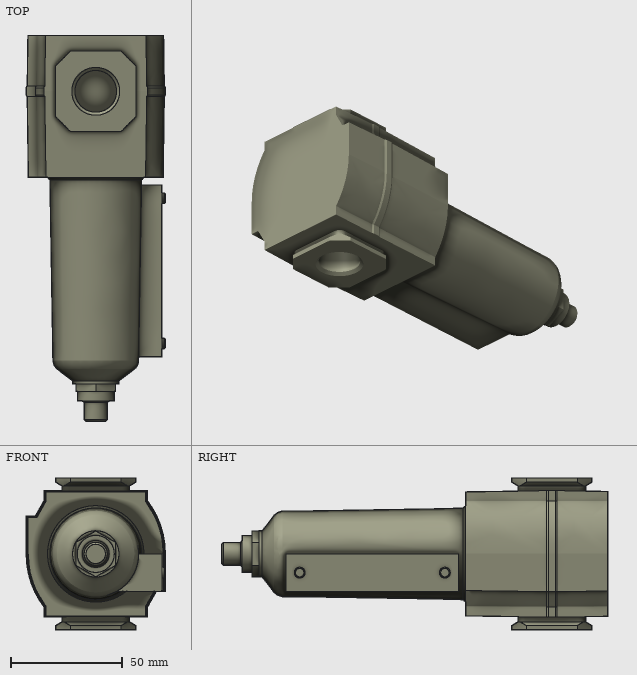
import cadquery as cq
import math


head_back = 25.0
head_front = -38.5
head_half_height = 28.3
head_side_half_width = 30.8
head_top_half_width = 22.8
head_shoulder_height = 23.7
step_half_width = 26.6
step_height = 17.0
draft_angle = 0.8
band_rise = 0.43
band_half_length = 1.5
band_bevel = 0.9

port_face_height = 34.0
port_half_width = 18.0
port_corner = 6.5
port_rim = 1.9
port_bevel = 1.7
neck_half_width = 15.2
neck_corner_radius = 3.3
port_bore_radius = 9.3
port_bore_depth = 17.3
port_bore_chamfer = 1.4

collar_radius = 21.6
collar_length = 1.2
bowl_top_radius = 20.5
bowl_bottom_radius = 19.2
bowl_bottom = -122.9
boss_radius = 10.4
boss_start = -129.6
boss_end = -131.0
shoulder_round = 4.8

plate_back = -41.8
plate_front = -118.9
plate_side = 29.5
plate_depth = 16.8
peg_radius = 2.5
peg_inset = 6.0
peg_tip = 31.1
peg_chamfer = 0.5

hex_across_flats = 17.8
hex_length = 3.3
drain_barrel_radius = 8.3
drain_barrel_length = 4.3
stem_radius = 5.2
stem_collar_radius = 6.0
stem_collar_length = 0.7
stem_tip = -147.7
stem_chamfer = 0.9


def head_outline(rise):
    """Head section in XZ, moved outward in X by `rise`; half a turn about Y maps it onto itself."""
    side = head_side_half_width + rise
    top = head_top_half_width + rise
    step = step_half_width + rise
    arc_radius = ((side - top) ** 2 + head_shoulder_height**2) / (2 * (side - top))
    arc_mid_height = head_shoulder_height / 2
    arc_mid = side - arc_radius + math.sqrt(arc_radius**2 - arc_mid_height**2)
    return (
        cq.Workplane("XZ")
        .moveTo(-top, head_half_height)
        .lineTo(top, head_half_height)
        .lineTo(top, head_shoulder_height)
        .threePointArc((arc_mid, arc_mid_height), (side, 0))
        .lineTo(side, -step_height)
        .lineTo(step, -step_height)
        .lineTo(top, -head_shoulder_height)
        .lineTo(top, -head_half_height)
        .lineTo(-top, -head_half_height)
        .lineTo(-top, -head_shoulder_height)
        .threePointArc((-arc_mid, -arc_mid_height), (-side, 0))
        .lineTo(-side, step_height)
        .lineTo(-step, step_height)
        .lineTo(-top, head_shoulder_height)
        .close()
    )


def make_band():
    """Bevelled band round the parting plane, raised in X only: its top and bottom follow the head's draft."""
    band = head_outline(band_rise).extrude(band_half_length, both=True)
    bevel_end = band_half_length + band_bevel
    for side in (1, -1):
        crest = head_outline(band_rise).wire().val().translate(cq.Vector(0, side * band_half_length, 0))
        foot = head_outline(0).wire().val().translate(cq.Vector(0, side * bevel_end, 0))
        band = band.union(cq.Workplane(cq.Solid.makeLoft([crest, foot], True)))
    blank = cq.Workplane("XZ").rect(4 * head_side_half_width, 2 * head_half_height)
    front_blank = blank.extrude(bevel_end, taper=draft_angle)
    back_blank = front_blank.mirror("XZ")
    return band.intersect(front_blank.union(back_blank))


def port_flange():
    """Upper port: square rim, bevelled back to a round-cornered neck, with the rim corners cut off."""
    rim_bottom = port_face_height - port_rim
    neck_top = rim_bottom - port_bevel
    rim = cq.Workplane("XY", origin=(0, 0, rim_bottom)).rect(2 * port_half_width, 2 * port_half_width)
    rim = rim.extrude(port_rim)
    bevel = (
        cq.Workplane("XY", origin=(0, 0, neck_top))
        .rect(2 * neck_half_width, 2 * neck_half_width)
        .workplane(offset=port_bevel)
        .rect(2 * port_half_width, 2 * port_half_width)
        .loft(ruled=True)
    )
    across_corners = math.sqrt(2) * (2 * port_half_width - port_corner)
    corner_cutter = (
        cq.Workplane("XY")
        .rect(across_corners, across_corners)
        .extrude(port_face_height)
        .rotate((0, 0, 0), (0, 0, 1), 45)
    )
    neck = (
        cq.Workplane("XY")
        .rect(2 * neck_half_width, 2 * neck_half_width)
        .extrude(neck_top)
        .edges("|Z")
        .fillet(neck_corner_radius)
    )
    return rim.union(bevel).intersect(corner_cutter).union(neck)


def port_bore():
    """Blind upper port bore with a chamfered mouth."""
    return (
        cq.Workplane("XZ")
        .moveTo(0, port_face_height)
        .lineTo(port_bore_radius + port_bore_chamfer, port_face_height)
        .lineTo(port_bore_radius, port_face_height - port_bore_chamfer)
        .lineTo(port_bore_radius, port_face_height - port_bore_depth)
        .lineTo(0, port_face_height - port_bore_depth)
        .close()
        .revolve(360, (0, 0, 0), (0, 1, 0))
    )


def make_head():
    front_half = head_outline(0).extrude(-head_front, taper=draft_angle)
    back_half = head_outline(0).extrude(-head_back, taper=draft_angle)
    head = front_half.union(back_half).union(make_band())
    for turn in (0, 180):
        head = head.union(port_flange().rotate((0, 0, 0), (0, 1, 0), turn))
        head = head.cut(port_bore().rotate((0, 0, 0), (0, 1, 0), turn))
    return head


def turned(profile):
    """Solid turned about Y from (radius, y) points."""
    return cq.Workplane("XY").polyline(profile).close().revolve(360, (0, 0, 0), (0, 1, 0))


def make_bowl():
    collar_end = head_front - collar_length
    shell = turned([
        (0, head_front), (collar_radius, head_front), (bowl_top_radius, collar_end),
        (bowl_bottom_radius, bowl_bottom), (boss_radius, boss_start), (boss_radius, boss_end),
        (0, boss_end),
    ])
    shoulder_edge = cq.selectors.NearestToPointSelector((0, bowl_bottom, 0))
    shell = shell.edges(shoulder_edge).fillet(shoulder_round)
    plate = (
        cq.Workplane("XY", origin=(0, plate_front, -plate_depth))
        .box(plate_side, plate_back - plate_front, plate_depth, centered=False)
    )
    bowl = shell.union(plate)
    for peg_y in (plate_back - peg_inset, plate_front + peg_inset):
        peg = (
            cq.Workplane("YZ", origin=(plate_side, peg_y, -plate_depth / 2))
            .circle(peg_radius)
            .extrude(peg_tip - plate_side)
            .faces(">X")
            .chamfer(peg_chamfer)
        )
        bowl = bowl.union(peg)
    return bowl


def make_drain():
    hex_end = boss_end - hex_length
    barrel_end = hex_end - drain_barrel_length
    stem_start = barrel_end - stem_collar_length
    hexagon = (
        cq.Workplane("XZ", origin=(0, boss_end, 0))
        .polygon(6, hex_across_flats, circumscribed=True)
        .extrude(hex_length)
    )
    stem = turned([
        (0, hex_end), (drain_barrel_radius, hex_end), (drain_barrel_radius, barrel_end),
        (stem_collar_radius, barrel_end), (stem_radius, stem_start),
        (stem_radius, stem_tip + stem_chamfer), (stem_radius - stem_chamfer, stem_tip), (0, stem_tip),
    ])
    return hexagon.union(stem)


head = make_head()
bowl = make_bowl()
drain = make_drain()

result = cq.Compound.makeCompound([head.val(), bowl.val(), drain.val()])